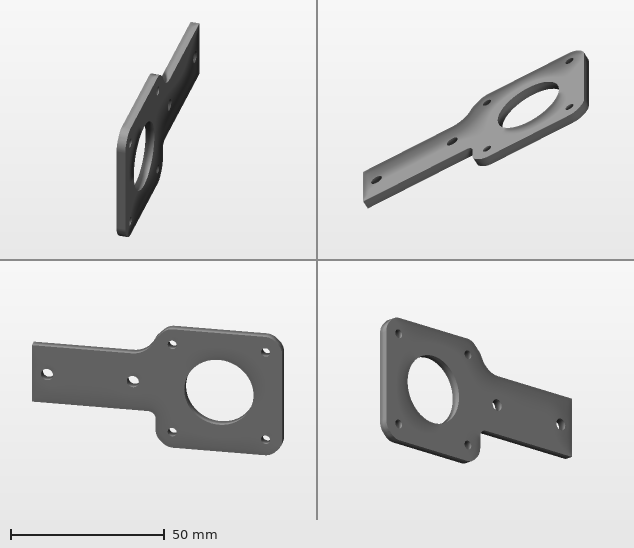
import cadquery as cq
import math

total_length = 83.0
plate_side = 42.0
thickness = 3.0

arm_width = 20.0
arm_drop = 9.7
upper_neck_radius = 8.0
lower_neck_radius = 2.5

corner_cut = 3.7
corner_radius = 5.0

bore_diameter = 23.0
motor_hole_diameter = 3.0
motor_hole_pitch = 31.0
arm_hole_diameter = 4.0
arm_hole_end_distance = 5.0
arm_hole_spacing = 28.5

outer_y = -total_length / 2
arm_end_y = total_length / 2
neck_y = outer_y + plate_side
plate_center_y = outer_y + plate_side / 2
top_z = plate_side / 2
bottom_z = -top_z
arm_top_z = top_z - arm_drop
arm_bottom_z = arm_top_z - arm_width
arm_center_z = (arm_top_z + arm_bottom_z) / 2

neck_center_y = neck_y + upper_neck_radius
neck_center_z = arm_top_z + upper_neck_radius


def neck_arc_point(angle):
    """Point on the upper neck arc, with the angle measured from +Y towards +Z."""
    return (
        neck_center_y + upper_neck_radius * math.cos(angle),
        neck_center_z + upper_neck_radius * math.sin(angle),
    )


cut_line_sum = neck_y + top_z - corner_cut
cut_distance = (neck_center_y + neck_center_z - cut_line_sum) / math.sqrt(2)
arc_end_angle = math.radians(225) - math.acos(cut_distance / upper_neck_radius)
arc_start_angle = math.radians(270)
neck_arc_end = neck_arc_point(arc_end_angle)
neck_arc_middle = neck_arc_point((arc_start_angle + arc_end_angle) / 2)


def make_blank():
    """Plate and arm in one outline, with the corner cuts still sharp."""
    return (
        cq.Workplane("YZ")
        .moveTo(arm_end_y, arm_bottom_z)
        .lineTo(arm_end_y, arm_top_z)
        .lineTo(neck_center_y, arm_top_z)
        .threePointArc(neck_arc_middle, neck_arc_end)
        .lineTo(neck_y - corner_cut, top_z)
        .lineTo(outer_y + corner_cut, top_z)
        .lineTo(outer_y, top_z - corner_cut)
        .lineTo(outer_y, bottom_z + corner_cut)
        .lineTo(outer_y + corner_cut, bottom_z)
        .lineTo(neck_y - corner_cut, bottom_z)
        .lineTo(neck_y, bottom_z + corner_cut)
        .lineTo(neck_y, arm_bottom_z - lower_neck_radius)
        .radiusArc((neck_y + lower_neck_radius, arm_bottom_z), lower_neck_radius)
        .close()
        .extrude(thickness / 2, both=True)
    )


def round_corner_cuts(body):
    """Round both ends of each of the four corner cuts."""
    cut_ends = [
        neck_arc_end,
        (neck_y - corner_cut, top_z),
        (outer_y + corner_cut, top_z),
        (outer_y, top_z - corner_cut),
        (outer_y, bottom_z + corner_cut),
        (outer_y + corner_cut, bottom_z),
        (neck_y - corner_cut, bottom_z),
        (neck_y, bottom_z + corner_cut),
    ]
    corner_edges = [
        body.edges("|X").edges(cq.NearestToPointSelector((0, y, z))).val()
        for y, z in cut_ends
    ]
    return body.newObject(corner_edges).fillet(corner_radius)


def make_hole_cutters(diameter, centers):
    """Cylinders along X through the full thickness."""
    return (
        cq.Workplane("YZ", origin=(-thickness / 2, 0, 0))
        .pushPoints(centers)
        .circle(diameter / 2)
        .extrude(thickness)
    )


half_pitch = motor_hole_pitch / 2
motor_hole_centers = [
    (plate_center_y + side * half_pitch, level * half_pitch)
    for side in (-1, 1)
    for level in (-1, 1)
]
outer_arm_hole_y = arm_end_y - arm_hole_end_distance
arm_hole_centers = [
    (outer_arm_hole_y, arm_center_z),
    (outer_arm_hole_y - arm_hole_spacing, arm_center_z),
]

result = round_corner_cuts(make_blank())
for hole_diameter, hole_centers in (
    (bore_diameter, [(plate_center_y, 0)]),
    (motor_hole_diameter, motor_hole_centers),
    (arm_hole_diameter, arm_hole_centers),
):
    result = result.cut(make_hole_cutters(hole_diameter, hole_centers))